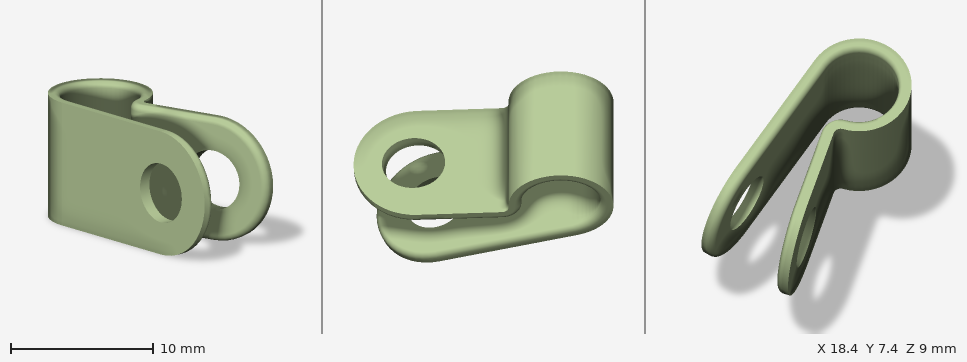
import cadquery as cq
import math

overall_length = 18.4
width = 9.0
thickness = 0.9
loop_radius = 3.7
bore_radius = loop_radius - thickness
edge_radius = 0.45

end_radius = width / 2
hole_diameter = 4.3
flat_arm_length = overall_length - loop_radius - end_radius
sloped_arm_length = 5.95
slope = 15.0

neck_small_radius = 0.52
neck_large_radius = neck_small_radius + thickness
neck_distance = loop_radius + neck_small_radius


def polar(radius, angle, center=(0, 0)):
    """Point at the given radius and angle in degrees around a center."""
    a = math.radians(angle)
    return (center[0] + radius * math.cos(a), center[1] + radius * math.sin(a))


neck_center = polar(neck_distance, slope)
neck_start = slope + 180
neck_end = slope + 270
neck_middle = (neck_start + neck_end) / 2
loop_middle = (slope + 270) / 2


def make_loop_and_neck():
    """Constant-thickness strip from the flat arm round the loop and neck."""
    return (
        cq.Workplane("XY")
        .workplane(offset=-width / 2)
        .moveTo(0, -loop_radius)
        .threePointArc(polar(loop_radius, loop_middle), polar(loop_radius, slope))
        .threePointArc(
            polar(neck_small_radius, neck_middle, neck_center),
            polar(neck_small_radius, neck_end, neck_center),
        )
        .lineTo(*polar(neck_large_radius, neck_end, neck_center))
        .threePointArc(
            polar(neck_large_radius, neck_middle, neck_center),
            polar(bore_radius, slope),
        )
        .threePointArc(polar(bore_radius, loop_middle), (0, -bore_radius))
        .close()
        .extrude(width)
    )


def arm_plane(start, angle):
    """Plane at an arm's lower face, with local X along the arm."""
    direction = polar(1, angle)
    normal = polar(1, angle + 90)
    return cq.Plane(origin=(*start, 0), xDir=(*direction, 0), normal=(*normal, 0))


def make_arm(plane, length):
    """Round-ended plate standing on its plane."""
    return (
        cq.Workplane(plane)
        .moveTo(0, -end_radius)
        .lineTo(length, -end_radius)
        .threePointArc((length + end_radius, 0), (length, end_radius))
        .lineTo(0, end_radius)
        .close()
        .extrude(thickness)
    )


def make_hole():
    """Cutter along Y for one screw hole through both arms, centered on the flat arm's end."""
    return (
        cq.Workplane("XZ")
        .center(flat_arm_length, 0)
        .circle(hole_diameter / 2)
        .extrude(loop_radius * 2, both=True)
    )


flat_plane = arm_plane((0, -loop_radius), 0)
sloped_plane = arm_plane(polar(neck_large_radius, neck_end, neck_center), slope)
arms = [(flat_plane, flat_arm_length), (sloped_plane, sloped_arm_length)]

clamp = make_loop_and_neck()
for plane, length in arms:
    clamp = clamp.union(make_arm(plane, length))

rim_edge = cq.selectors.NearestToPointSelector((flat_arm_length / 2, -bore_radius, width / 2))
clamp = clamp.edges(rim_edge).fillet(edge_radius)

result = clamp.cut(make_hole())